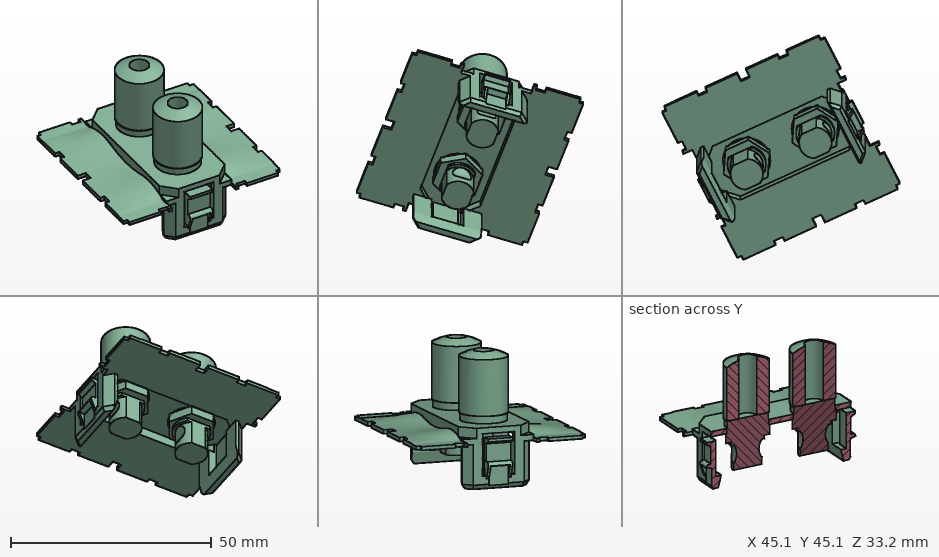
import cadquery as cq
import math


sheet_half = 45.05 / 2
sheet_edge_z = 0.9
wing_inner_y = 9.2
rim_z = 1.05
ramp_start_x = 18.76
wave_start_x = 18.0
crest_x = 11.2
crest_z = 2.6
wave_change_x = 7.3
wave_change_z = 2.05
valley_z = 1.2
notch_width = 2.43
notch_depth = 1.12
notch_offset = 11.2
middle_notch_depth = 2.27

plate_half_x = 20.1
plate_half_y = 9.4
base_z = 1.5
plate_top_z = 4.1
plate_corner = 3.5
skin_under_z = 2.58
wall_thickness = 1.5

leg_thickness = 3.0
leg_half_y = 8.9
leg_corner = 2.15
leg_bottom_z = -11.48
leg_tip_height = 1.2
leg_tip_inset = 0.65
leg_taper_z = -8.5
leg_taper_inset = 0.8
window_half_y = 4.25
window_bottom_z = -8.2

latch_half_y = 3.25
lip_x = 21.27
lip_top_z = 1.4
lip_edge_z = 0.65
hook_x = 21.4
hook_top_z = -4.6
hook_tip_z = -5.6
hook_round = 0.9
hook_bottom_z = -8.85
groove_half_y = 2.57
groove_floor_x = plate_half_x - 0.2
groove_top_z = -5.45
groove_slope_drop = 0.4

post_pitch = 19.0
post_xs = (-post_pitch / 2, post_pitch / 2)
neck_radius = 5.93
cap_radius = 6.17
cap_bottom_z = 6.0
dome_start_z = 20.35
cap_top_z = 21.75
bore_radius = 2.5
hex_across_corners = 12.7
flange_radius = 4.8
flange_bottom_z = -0.9
turret_radius = 4.07
turret_bottom_z = -7.65
flat_half_y = 3.55
waist_top_z = -0.95
waist_bottom_z = -5.65
waist_depth = 0.8


def box(x_range, y_range, z_range):
    (x0, x1), (y0, y1), (z0, z1) = x_range, y_range, z_range
    return cq.Workplane("XY").box(x1 - x0, y1 - y0, z1 - z0, centered=False).translate((x0, y0, z0))


def both_x_ends(shape):
    return shape.union(shape.mirror("YZ"))


def wing_section(y, wavy):
    """Closed wing section at a given Y; the plain one has straight edges in place of the arcs."""
    points = {
        "edge": (sheet_half, sheet_edge_z),
        "ramp": (ramp_start_x, sheet_edge_z),
        "start": (wave_start_x, rim_z),
        "change": (wave_change_x, wave_change_z if wavy else rim_z),
    }

    def at(x, z):
        return cq.Vector(x, y, z)

    def bump(side):
        start, change = points["start"], points["change"]
        ends = [at(side * start[0], start[1]), at(side * change[0], change[1])]
        if wavy:
            return cq.Edge.makeThreePointArc(ends[0], at(side * crest_x, crest_z), ends[1])
        return cq.Edge.makeLine(*ends)

    def valley():
        x, z = points["change"]
        if wavy:
            return cq.Edge.makeThreePointArc(at(-x, z), at(0, valley_z), at(x, z))
        return cq.Edge.makeLine(at(-x, z), at(x, z))

    def outer_edges(side):
        path = [at(side * sheet_half, 0)]
        path += [at(side * x, z) for x, z in (points["edge"], points["ramp"], points["start"])]
        return [cq.Edge.makeLine(a, b) for a, b in zip(path, path[1:])]

    bottom = cq.Edge.makeLine(at(sheet_half, 0), at(-sheet_half, 0))
    edges = outer_edges(-1) + [bump(-1), valley(), bump(1)] + outer_edges(1) + [bottom]
    return cq.Wire.assembleEdges(edges)


def make_wing():
    """Wing on the +Y side: ruled between the wavy inner section and the straight rim, then notched."""
    sections = [wing_section(wing_inner_y, True), wing_section(sheet_half, False)]
    wing = cq.Workplane(obj=cq.Solid.makeLoft(sections, True))
    half_notch = notch_width / 2
    outside = sheet_half + 1
    full_height = (-1, crest_z + 1)
    rim_notches = [(0, middle_notch_depth), (-notch_offset, notch_depth), (notch_offset, notch_depth)]
    for x, depth in rim_notches:
        wing = wing.cut(box((x - half_notch, x + half_notch), (sheet_half - depth, outside), full_height))
    end_notch = box(
        (sheet_half - notch_depth, outside),
        (notch_offset - half_notch, notch_offset + half_notch),
        full_height,
    )
    corner_notch = box(
        (sheet_half - notch_depth, outside),
        (sheet_half - notch_depth, outside),
        full_height,
    )
    return wing.cut(both_x_ends(end_notch)).cut(both_x_ends(corner_notch))


def make_plate():
    base = box((-plate_half_x, plate_half_x), (-plate_half_y, plate_half_y), (0, base_z))
    top = box((-plate_half_x, plate_half_x), (-plate_half_y, plate_half_y), (base_z, plate_top_z))
    return base.union(top.edges("|Z").chamfer(plate_corner))


def make_leg():
    """Leg at +X: corners cut in plan, a narrowing tip, and a tapered inner face."""
    inner_x = plate_half_x - leg_thickness
    tip_z = leg_bottom_z + leg_tip_height
    plan = [
        (0, -leg_half_y),
        (plate_half_x - leg_corner, -leg_half_y),
        (plate_half_x, -leg_half_y + leg_corner),
        (plate_half_x, leg_half_y - leg_corner),
        (plate_half_x - leg_corner, leg_half_y),
        (0, leg_half_y),
    ]
    tip_angle = math.degrees(math.atan2(leg_tip_inset, leg_tip_height))
    outline = cq.Workplane("XY").workplane(offset=tip_z).polyline(plan).close()
    shaft = outline.extrude(-tip_z)
    facing_down = cq.Plane(origin=(0, 0, tip_z), xDir=(1, 0, 0), normal=(0, 0, -1))
    tip = cq.Workplane(facing_down).polyline(plan).close().extrude(leg_tip_height, taper=tip_angle)
    side = [
        (inner_x, 0),
        (inner_x, leg_taper_z),
        (inner_x + leg_taper_inset, leg_bottom_z),
        (plate_half_x, leg_bottom_z),
        (plate_half_x, 0),
    ]
    side_prism = cq.Workplane("XZ").polyline(side).close().extrude(leg_half_y, both=True)
    return shaft.union(tip).intersect(side_prism)


def make_latch():
    """Tongue rooted at the window's lower edge, with a lip at its free top and a snap hook."""
    inner_x = plate_half_x - wall_thickness
    hook_round_x = hook_x - hook_round
    profile = (
        cq.Workplane("XZ")
        .moveTo(inner_x, hook_bottom_z)
        .lineTo(inner_x, lip_top_z)
        .lineTo(lip_x, lip_top_z)
        .lineTo(lip_x, lip_edge_z)
        .lineTo(plate_half_x, 0)
        .lineTo(plate_half_x, hook_top_z)
        .lineTo(hook_round_x, hook_top_z)
        .tangentArcPoint((hook_x, hook_tip_z), relative=False)
        .lineTo(plate_half_x, hook_bottom_z)
        .close()
    )
    return profile.extrude(latch_half_y, both=True)


def make_latch_groove():
    """Groove down the middle of the hook and the leg face below it, with a sloped upper end."""
    profile = [
        (groove_floor_x, groove_top_z - groove_slope_drop),
        (hook_x, groove_top_z),
        (hook_x + 1, groove_top_z),
        (hook_x + 1, leg_bottom_z),
        (groove_floor_x, leg_bottom_z),
    ]
    return cq.Workplane("XZ").polyline(profile).close().extrude(groove_half_y, both=True)


def make_hex(x):
    """Hexagonal collar under the plate's skin, with two corners along X."""
    return cq.Workplane("XY").center(x, 0).polygon(6, hex_across_corners).extrude(skin_under_z)


def make_cylinder(x, radius, z_bottom, z_top):
    return cq.Workplane("XY", origin=(x, 0, z_bottom)).circle(radius).extrude(z_top - z_bottom)


def make_housing():
    """Plate with wings, hollow below its top skin, with a leg, window and latch at each X end."""
    wing = make_wing()
    body = make_plate().union(wing).union(wing.mirror("XZ"))
    hollow_half_x = plate_half_x - wall_thickness
    hollow_half_y = plate_half_y - wall_thickness
    hollow = box((-hollow_half_x, hollow_half_x), (-hollow_half_y, hollow_half_y), (0, skin_under_z))
    body = body.cut(hollow.edges("|Z").chamfer(plate_corner)).union(both_x_ends(make_leg()))
    window = box(
        (plate_half_x - leg_thickness, plate_half_x + 1),
        (-window_half_y, window_half_y),
        (window_bottom_z, skin_under_z),
    )
    body = body.cut(both_x_ends(window))
    body = body.union(both_x_ends(make_latch())).cut(both_x_ends(make_latch_groove()))
    for x in post_xs:
        body = body.cut(make_cylinder(x, neck_radius, skin_under_z, plate_top_z))
    return body


def make_socket(x):
    """Neck, hexagonal collar, flange and a waisted solder turret with two flats."""
    neck = make_cylinder(x, neck_radius, skin_under_z, cap_bottom_z)
    flange = make_cylinder(x, flange_radius, flange_bottom_z, 0)
    turret = make_cylinder(x, turret_radius, turret_bottom_z, flange_bottom_z)
    waist_mid_z = (waist_top_z + waist_bottom_z) / 2
    for side in (-1, 1):
        rim_x = x + side * turret_radius
        waist = (
            cq.Workplane("XZ")
            .moveTo(rim_x, waist_top_z)
            .threePointArc((rim_x - side * waist_depth, waist_mid_z), (rim_x, waist_bottom_z))
            .lineTo(rim_x + side, waist_bottom_z)
            .lineTo(rim_x + side, waist_top_z)
            .close()
            .extrude(turret_radius, both=True)
        )
        turret = turret.cut(waist)
    between_flats = box(
        (x - flange_radius, x + flange_radius),
        (-flat_half_y, flat_half_y),
        (turret_bottom_z, 0),
    )
    terminal = flange.union(turret).intersect(between_flats)
    return neck.union(make_hex(x)).union(terminal)


def make_cap(x):
    """Cylindrical cap with a spherical dome centred on its axis and a through bore."""
    dome_height = cap_top_z - dome_start_z
    center_drop = (cap_radius**2 - bore_radius**2 - dome_height**2) / (2 * dome_height)
    dome_radius = math.hypot(cap_radius, center_drop)
    mid_radius = (cap_radius + bore_radius) / 2
    mid_z = dome_start_z - center_drop + math.sqrt(dome_radius**2 - mid_radius**2)
    profile = (
        cq.Workplane("XZ")
        .moveTo(bore_radius, cap_bottom_z)
        .lineTo(cap_radius, cap_bottom_z)
        .lineTo(cap_radius, dome_start_z)
        .threePointArc((mid_radius, mid_z), (bore_radius, cap_top_z))
        .close()
    )
    return profile.revolve(360, (0, 0, 0), (0, 1, 0)).translate((x, 0, 0))


housing = make_housing()
sockets = [make_socket(x) for x in post_xs]
caps = [make_cap(x) for x in post_xs]

result = cq.Compound.makeCompound([body.solids().val() for body in [housing, *sockets, *caps]])